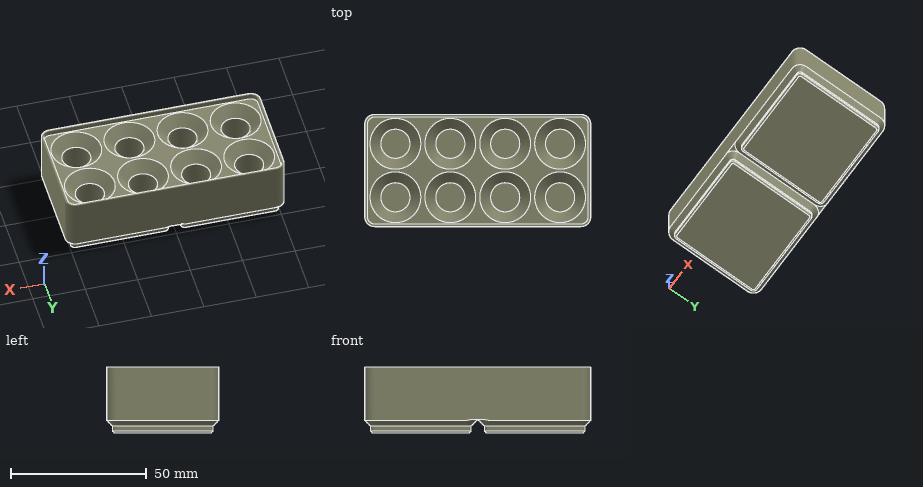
import cadquery as cq

GRID_PITCH = 42.0
CELLS_X = 2
CLEARANCE = 0.5
BODY_LENGTH = CELLS_X * GRID_PITCH - CLEARANCE
BODY_WIDTH = GRID_PITCH - CLEARANCE
BODY_HEIGHT = 24.43
BODY_CORNER_RADIUS = 3.75

FOOT_CORNER_RADIUS = 4.0
FOOT_BOTTOM_CHAMFER = 0.8
FOOT_STRAIGHT_HEIGHT = 1.8
FOOT_TOP_CHAMFER = 2.4
FLARE_ANGLE = 45.0
FOOT_HEIGHT = FOOT_BOTTOM_CHAMFER + FOOT_STRAIGHT_HEIGHT + FOOT_TOP_CHAMFER

RIM_THICKNESS = 1.0
RIM_HEIGHT = 2.0
RIM_ROUNDING = 0.3
DECK_Z = BODY_HEIGHT - RIM_HEIGHT

POCKETS_X = 4
POCKETS_Y = 2
POCKET_GAP_X = 1.5
POCKET_GAP_Y = 1.0
POCKET_DIAMETER = 10.75
COUNTERSINK_DEPTH = 4.0
COUNTERSINK_DIAMETER = POCKET_DIAMETER + 2 * COUNTERSINK_DEPTH
POCKET_PITCH_X = COUNTERSINK_DIAMETER + POCKET_GAP_X
POCKET_PITCH_Y = COUNTERSINK_DIAMETER + POCKET_GAP_Y
POCKET_FLOOR_Z = 7.0


def rounded_block(length, width, corner_radius, bottom_z, height, taper=0):
    """Upright block centred on the Z axis, with rounded corners; a negative taper flares it upwards."""
    outline = cq.Sketch().rect(length, width).vertices().fillet(corner_radius)
    return cq.Workplane("XY").workplane(offset=bottom_z).placeSketch(outline).extrude(height, taper=taper)


def make_foot():
    """Foot that flares at 45 degrees to the full grid cell at its top."""
    straight_side = GRID_PITCH - 2 * FOOT_TOP_CHAMFER
    straight_radius = FOOT_CORNER_RADIUS - FOOT_TOP_CHAMFER
    straight_top = FOOT_BOTTOM_CHAMFER + FOOT_STRAIGHT_HEIGHT
    lower = rounded_block(straight_side, straight_side, straight_radius, 0, straight_top)
    lower = lower.faces("<Z").chamfer(FOOT_BOTTOM_CHAMFER)
    flare = rounded_block(
        straight_side, straight_side, straight_radius, straight_top, FOOT_TOP_CHAMFER, taper=-FLARE_ANGLE
    )
    return lower.union(flare)


def make_body():
    """Rounded block on a row of feet, the feet trimmed to the block's outline."""
    envelope = rounded_block(BODY_LENGTH, BODY_WIDTH, BODY_CORNER_RADIUS, 0, BODY_HEIGHT)
    body = rounded_block(
        BODY_LENGTH, BODY_WIDTH, BODY_CORNER_RADIUS, FOOT_HEIGHT, BODY_HEIGHT - FOOT_HEIGHT
    )
    foot = make_foot()
    for cell in range(CELLS_X):
        foot_x = (cell - (CELLS_X - 1) / 2) * GRID_PITCH
        body = body.union(foot.translate((foot_x, 0, 0)).intersect(envelope))
    return body.clean()


def cut_rim(body):
    """Sink the top face, leaving a thin rim with rounded upper edges."""
    recess = rounded_block(
        BODY_LENGTH - 2 * RIM_THICKNESS,
        BODY_WIDTH - 2 * RIM_THICKNESS,
        BODY_CORNER_RADIUS - RIM_THICKNESS,
        DECK_Z,
        RIM_HEIGHT,
    )
    return body.cut(recess).faces(">Z").edges().fillet(RIM_ROUNDING)


def make_pocket():
    """Blind round pocket with a conical mouth, turned about the Z axis."""
    pocket_radius = POCKET_DIAMETER / 2
    profile = (
        cq.Workplane("XZ")
        .moveTo(0, POCKET_FLOOR_Z)
        .lineTo(pocket_radius, POCKET_FLOOR_Z)
        .lineTo(pocket_radius, DECK_Z - COUNTERSINK_DEPTH)
        .lineTo(COUNTERSINK_DIAMETER / 2, DECK_Z)
        .lineTo(0, DECK_Z)
        .close()
    )
    return profile.revolve(360, (0, 0, 0), (0, 1, 0))


def cut_pockets(body):
    """Cut the centred grid of pockets into the deck."""
    pocket = make_pocket()
    for column in range(POCKETS_X):
        for row in range(POCKETS_Y):
            pocket_x = (column - (POCKETS_X - 1) / 2) * POCKET_PITCH_X
            pocket_y = (row - (POCKETS_Y - 1) / 2) * POCKET_PITCH_Y
            body = body.cut(pocket.translate((pocket_x, pocket_y, 0)))
    return body


result = cut_pockets(cut_rim(make_body()))